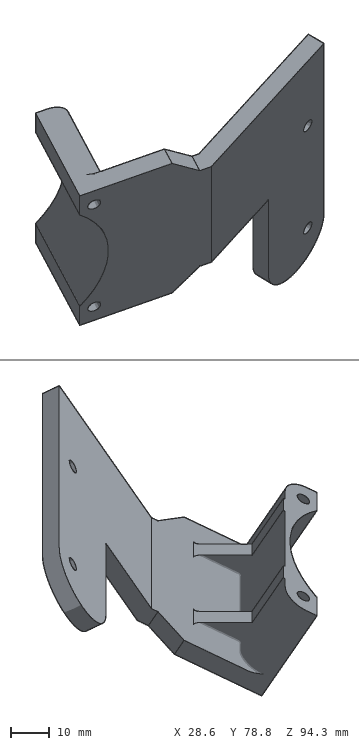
import cadquery as cq
import math

width = 28.6
depth = 78.8
height = 94.3
sheet = 5.0
bracket_height = 56.9
panel_height = 42.0
bend = math.radians(30)

wall_x = width - sheet
wall_straight_end = 25.8
wall_neck = 33.6

flange_depth = 9.4
flange_corner_radius = 6.3
saddle_depth = 8.0
saddle_half_chord = 20.1

rib_thickness = 5.1
rib_offset = 15.6
rib_base_y = 10.0
rib_base_x = 16.1
rib_tip_y = 23.0
fillet_radius = 1.0

hole_diameter = 3.6
flange_hole_y = 4.1
flange_hole_offset = 22.4
panel_hole_inset = 7.0
panel_hole_heights = (-7.4, -52.3)
leg_width = 23.9

half_height = bracket_height / 2
half_panel = panel_height / 2
panel_length = wall_x / math.sin(bend)
panel_end_y = depth - sheet * math.sin(bend)
fold_y = panel_end_y - wall_x / math.tan(bend)
outer_fold_y = fold_y + sheet * math.tan(bend / 2)

panel_plane = cq.Plane(
    origin=(wall_x, fold_y, 0),
    xDir=(-math.sin(bend), math.cos(bend), 0),
    normal=(math.cos(bend), math.sin(bend), 0),
)


def make_wall_blank():
    """Wall left tall, so the rounding around the flange runs out cleanly when trimmed."""
    blank_height = bracket_height + 4 * fillet_radius
    return (
        cq.Workplane("XY", origin=(wall_x, 0, 0))
        .box(sheet, wall_neck, blank_height, centered=(False, False, True))
    )


def make_bracket_envelope():
    """Side outline of the bracket, spanning the full width."""
    half_outline = [(0, half_height), (wall_straight_end, half_height), (wall_neck, half_panel)]
    mirrored = [(y, -z) for y, z in reversed(half_outline)]
    return cq.Workplane("YZ").polyline(half_outline + mirrored).close().extrude(width)


def make_flange():
    block = cq.Workplane("XY").box(width, flange_depth, bracket_height, centered=(False, False, True))
    return block.edges("|X and >Y").fillet(flange_corner_radius)


def make_rib_block(center_z):
    """Rectangular rib, left oversize until its inner corners are rounded."""
    return (
        cq.Workplane("XY", origin=(0, 0, center_z))
        .box(width, wall_straight_end, rib_thickness, centered=(False, False, True))
    )


def make_rib_trim():
    """Space above the low base and sloping face of the finished ribs."""
    return (
        cq.Workplane("XY", origin=(0, 0, -half_height))
        .polyline([
            (0, rib_base_y), (rib_base_x, rib_base_y), (wall_x, rib_tip_y),
            (wall_x, wall_straight_end), (0, wall_straight_end),
        ])
        .close()
        .extrude(bracket_height)
    )


def make_folded_panel():
    """Bent strip continuing the wall and turning into the tilted panel."""
    return (
        cq.Workplane("XY", origin=(0, 0, -half_panel))
        .polyline([
            (wall_x, wall_straight_end), (wall_x, fold_y), (0, panel_end_y),
            (sheet * math.cos(bend), depth), (width, outer_fold_y), (width, wall_straight_end),
        ])
        .close()
        .extrude(panel_height)
    )


def make_leg():
    """Round-ended leg hanging from the free edge of the panel."""
    leg_radius = leg_width / 2
    inner_edge = panel_length - leg_width
    bottom = half_height - height
    return (
        cq.Workplane(panel_plane)
        .moveTo(panel_length, 0)
        .lineTo(panel_length, bottom + leg_radius)
        .threePointArc((panel_length - leg_radius, bottom), (inner_edge, bottom + leg_radius))
        .lineTo(inner_edge, 0)
        .close()
        .extrude(sheet)
    )


def fillet_inner_corners(body):
    """Blend the wall, flange and ribs along their concave edges."""
    tolerance = 0.01

    def is_inner_corner(edge):
        center = edge.Center()
        box = edge.BoundingBox()
        on_wall = box.xmin > wall_x - tolerance and box.xmax < wall_x + tolerance
        is_level = box.zmax - box.zmin < tolerance
        at_flange_face = abs(box.ymax - flange_depth) < tolerance
        at_flange_end = abs(center.z) > half_height - flange_corner_radius and center.y < flange_depth
        in_bracket = abs(center.z) < half_height + tolerance
        joins_flange = on_wall and (at_flange_face or at_flange_end)
        joins_rib = on_wall and is_level and center.y > flange_depth
        rib_on_flange = is_level and at_flange_face and box.ymin > flange_depth - tolerance
        return in_bracket and (joins_flange or joins_rib or rib_on_flange)

    edges = [edge for edge in body.edges().vals() if is_inner_corner(edge)]
    return body.newObject(edges).fillet(fillet_radius)


bracket = make_wall_blank().union(make_flange())
for side in (-1, 1):
    bracket = bracket.union(make_rib_block(side * rib_offset))
bracket = fillet_inner_corners(bracket)
bracket = bracket.cut(make_rib_trim()).intersect(make_bracket_envelope())

saddle = (
    cq.Workplane("YZ")
    .moveTo(0, -saddle_half_chord)
    .threePointArc((saddle_depth, 0), (0, saddle_half_chord))
    .close()
    .extrude(width)
)

flange_holes = (
    cq.Workplane("YZ")
    .pushPoints([(flange_hole_y, side * flange_hole_offset) for side in (-1, 1)])
    .circle(hole_diameter / 2)
    .extrude(width)
)

panel_holes = (
    cq.Workplane(panel_plane)
    .pushPoints([(panel_length - panel_hole_inset, z) for z in panel_hole_heights])
    .circle(hole_diameter / 2)
    .extrude(sheet)
)

result = (
    bracket.union(make_folded_panel())
    .union(make_leg())
    .cut(saddle)
    .cut(flange_holes)
    .cut(panel_holes)
)